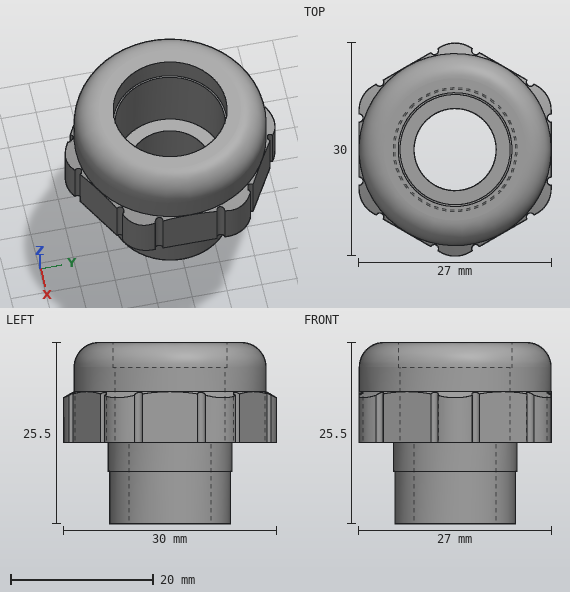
import cadquery as cq
import math

total_height = 25.5
across_flats = 27.02
across_lobes = 29.95

spigot_top = 7.37
nut_bottom = 11.4
nut_top = 18.58

spigot_diameter = 17.0
collar_diameter = 17.4
dome_diameter = 27.0
dome_edge_radius = 3.5

corner_count = 6
chamfer_angle = 30.0
notch_radius = 0.57
notch_offset = 4.43

mouth_diameter = 16.0
mouth_depth = dome_edge_radius
chamber_diameter = 15.5
chamber_floor = nut_bottom
bore_diameter = 11.5

hex_corner_radius = across_flats / 2 / math.cos(math.pi / corner_count)
tip_loss_ratio = 1 / math.cos(math.pi / corner_count) - 1
lobe_radius = (hex_corner_radius - across_lobes / 2) / tip_loss_ratio


def cylinder(diameter, bottom, top):
    return cq.Workplane("XY").workplane(offset=bottom).circle(diameter / 2).extrude(top - bottom)


def make_nut():
    """Hexagon with rounded corners, a conical top and a notch either side of every corner."""
    nut = (
        cq.Workplane("XY")
        .workplane(offset=nut_bottom)
        .transformed(rotate=(0, 0, 90))
        .polygon(corner_count, 2 * hex_corner_radius)
        .extrude(nut_top - nut_bottom)
        .edges("|Z")
        .fillet(lobe_radius)
    )

    cone_drop = (hex_corner_radius - dome_diameter / 2) * math.tan(math.radians(chamfer_angle))
    cone_envelope = (
        cq.Workplane("XZ")
        .moveTo(0, nut_bottom)
        .lineTo(hex_corner_radius, nut_bottom)
        .lineTo(hex_corner_radius, nut_top - cone_drop)
        .lineTo(dome_diameter / 2, nut_top)
        .lineTo(0, nut_top)
        .close()
        .revolve(360, (0, 0), (0, 1))
    )
    nut = nut.intersect(cone_envelope)

    notch_pair = (
        cq.Workplane("XY")
        .workplane(offset=nut_bottom)
        .pushPoints([(across_flats / 2, -notch_offset), (across_flats / 2, notch_offset)])
        .circle(notch_radius)
        .extrude(nut_top - nut_bottom)
    )
    for flat in range(corner_count):
        nut = nut.cut(notch_pair.rotate((0, 0, 0), (0, 0, 1), flat * 360 / corner_count))
    return nut


def make_dome():
    """Round cap above the nut with a large rounded top edge."""
    return cylinder(dome_diameter, nut_bottom, total_height).faces(">Z").edges().fillet(dome_edge_radius)


spigot = cylinder(spigot_diameter, 0, spigot_top)
collar = cylinder(collar_diameter, spigot_top, nut_bottom)
body = spigot.union(collar).union(make_nut()).union(make_dome())

bore = cylinder(bore_diameter, 0, total_height)
chamber = cylinder(chamber_diameter, chamber_floor, total_height)
mouth = cylinder(mouth_diameter, total_height - mouth_depth, total_height)

result = body.cut(bore).cut(chamber).cut(mouth)